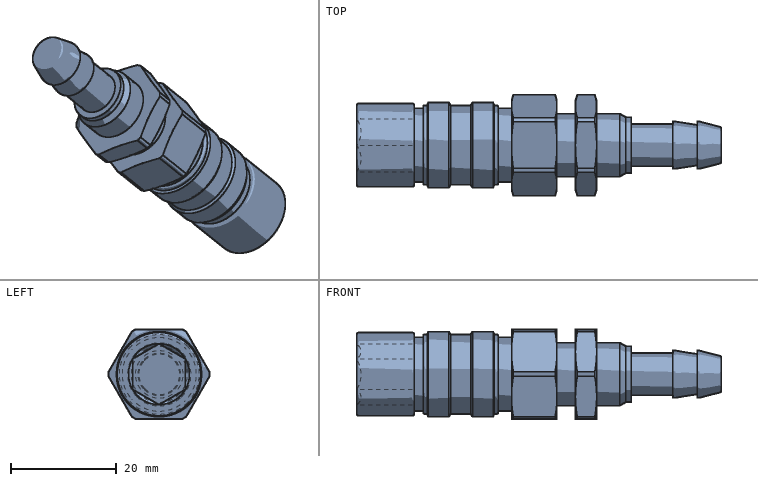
import cadquery as cq
import math


full_turn = 360
half_hex_step = 30
hex_sides = 6
corners_per_flats = 1 / math.cos(math.radians(half_hex_step))

nose_dia = 15.8
nose_end = 10.9
edge_radius = 0.4

neck_dia = 14.0

sleeve_start = 12.55
sleeve_end = 26.8
sleeve_dia = 15.1
sleeve_edge_radius = 0.35
band_dia = 16.15
band_inset = 0.78
band_outer_ramp = 0.2
band_top_width = 3.9
band_inner_ramp = 0.35

across_flats = 17.0
corner_dia = 19.15
hex_chamfer_depth = 0.35
hex_start = 29.3
hex_end = 37.9
nut_start = 41.4
nut_end = 45.4

shank_dia = 11.98
shank_end = 49.75
collar_dia = 10.6
collar_start = 50.95
collar_end = 52.0

tail_dia = 8.05
barb_dia = 9.0
barb_land = 0.45
barb_starts = (59.85, 64.4)
barb_root_dia = 7.7
tip_dia = 6.85
tip_radius = 0.4
total_length = 69.0

socket_flats = 10.0
socket_corner_dia = socket_flats * corners_per_flats
socket_depth = nose_end
countersink_depth = (socket_corner_dia - socket_flats) / 2


def cylinder(start, end, dia):
    """Round bar along X between two stations."""
    return cq.Workplane("YZ", origin=(start, 0, 0)).circle(dia / 2).extrude(end - start)


def hexagon(start, end, flats):
    """Hexagonal bar along X with corners pointing to +Y and -Y."""
    corners = flats * corners_per_flats
    return cq.Workplane("YZ", origin=(start, 0, 0)).polygon(hex_sides, corners).extrude(end - start)


def revolve_profile(stations):
    """Solid of revolution about X through (station, diameter) pairs, closed on the axis."""
    points = [(x, dia / 2) for x, dia in stations]
    outline = [(points[0][0], 0)] + points + [(points[-1][0], 0)]
    return cq.Workplane("XY").polyline(outline).close().revolve(full_turn, (0, 0, 0), (1, 0, 0))


def make_nose():
    return cylinder(0, nose_end, nose_dia).edges("%CIRCLE").fillet(edge_radius)


def make_sleeve():
    core = cylinder(sleeve_start, sleeve_end, sleeve_dia)
    core = core.faces("<X or >X").edges().fillet(sleeve_edge_radius)
    middle = (sleeve_start + sleeve_end) / 2
    foot = sleeve_start + band_inset
    top_start = foot + band_outer_ramp
    top_end = top_start + band_top_width
    band = revolve_profile([
        (foot, sleeve_dia),
        (top_start, band_dia),
        (top_end, band_dia),
        (top_end + band_inner_ramp, sleeve_dia),
    ])
    return core.union(band).union(band.mirror("YZ", (middle, 0, 0)))


def make_hex_nut(start, end):
    """Hexagon turned to the corner diameter, with both ends chamfered down to the flats."""
    turned = revolve_profile([
        (start, across_flats),
        (start + hex_chamfer_depth, corner_dia),
        (end - hex_chamfer_depth, corner_dia),
        (end, across_flats),
    ])
    return hexagon(start, end, across_flats).intersect(turned)


def make_shank():
    return revolve_profile([
        (hex_start, shank_dia),
        (shank_end, shank_dia),
        (collar_start, collar_dia),
        (collar_end, collar_dia),
    ])


def make_barb(start, end, end_dia):
    return revolve_profile([
        (start, barb_dia),
        (start + barb_land, barb_dia),
        (end, end_dia),
    ])


def make_hose_tail():
    first_barb, second_barb = barb_starts
    tube = cylinder(shank_end, first_barb, tail_dia)
    root_barb = make_barb(first_barb, second_barb, barb_root_dia)
    tip_barb = make_barb(second_barb, total_length, tip_dia)
    tip_barb = tip_barb.faces(">X").edges().fillet(tip_radius)
    return tube.union(root_barb).union(tip_barb)


def make_socket():
    """Hexagonal recess, points to +Z and -Z, with a conical lead-in across its corners."""
    recess = hexagon(0, socket_depth, socket_flats).rotate((0, 0, 0), (1, 0, 0), half_hex_step)
    lead_in = revolve_profile([
        (0, socket_corner_dia),
        (countersink_depth, socket_flats),
    ])
    return recess.union(lead_in)


result = (
    cylinder(nose_end / 2, hex_start, neck_dia)
    .union(make_nose())
    .union(make_sleeve())
    .union(make_hex_nut(hex_start, hex_end))
    .union(make_shank())
    .union(make_hex_nut(nut_start, nut_end))
    .union(make_hose_tail())
    .cut(make_socket())
)